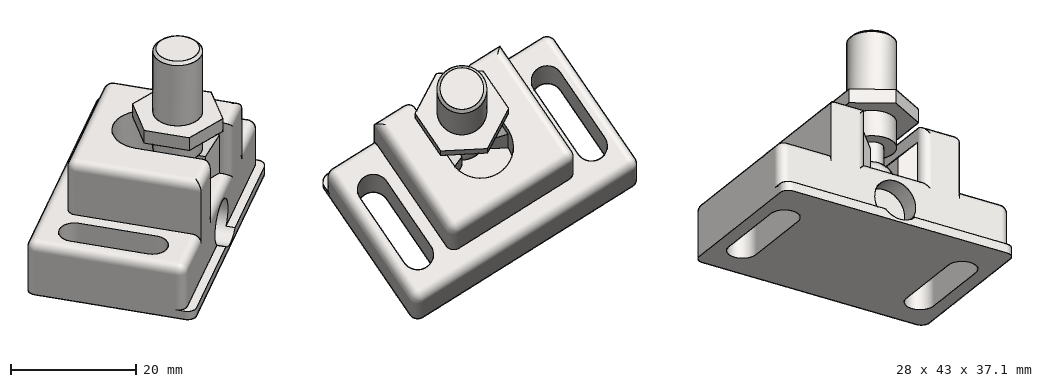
import cadquery as cq
import math

base_length = 26.5
base_width = 43.0
base_height = 9.98
block_start = 4.0
block_width = 24.0
housing_height = 20.0
edge_radius = 1.5
lip_reach = 1.5
lip_height = 1.65
housing_length = base_length + lip_reach

mount_slot_start = 4.2
mount_slot_length = 18.0
mount_slot_width = 5.07
mount_slot_offset = 16.6

stud_x = 19.2
stud_top = 37.1
shaft_radius = 4.0
shaft_chamfer = 0.5
shaft_bottom = housing_height - 2.35
neck_radius = 1.95
ball_radius = 3.83
ball_z = 10.7
collar_bottom = 22.25
collar_height = 2.5
collar_across_flats = 13.0

keyway_radius = 5.25
keyway_center_x = 13.75
jaw_half_length = stud_x - keyway_center_x
jaw_half_gap = 2.55
jaw_drop = 2.5
jaw_top = housing_height - jaw_drop
jaw_depth = keyway_radius - jaw_half_gap
jaw_taper = jaw_depth * math.tan(math.radians(30))

groove_half_width = 2.7
bore_radius = groove_half_width * math.sqrt(2)
bore_z = lip_height + groove_half_width
bore_start = stud_x + ball_radius


def box(x_start, x_end, width, z_start, z_end):
    """Box centred on Y = 0."""
    return (
        cq.Workplane("XY")
        .box(x_end - x_start, width, z_end - z_start, centered=(False, True, False))
        .translate((x_start, 0, z_start))
    )


def make_base():
    """Rounded base with the lip along its bottom +X edge."""
    base = box(0, base_length, base_width, 0, base_height)
    base = base.edges("|Z").fillet(edge_radius).faces(">Z").edges().fillet(edge_radius)
    lip = box(0, housing_length, base_width, 0, lip_height).edges("|Z").fillet(edge_radius)
    return base.union(lip)


def make_block():
    """Raised block, reaching down into the base and square at its +X corners."""
    block = box(block_start, base_length, block_width, 0, housing_height)
    return block.edges("|Z and <X").fillet(edge_radius).faces(">Z").edges().fillet(edge_radius)


def make_mounting_slots():
    center_x = mount_slot_start + mount_slot_length / 2
    return (
        cq.Workplane("XY")
        .pushPoints([(center_x, side * mount_slot_offset) for side in (-1, 1)])
        .slot2D(mount_slot_length, mount_slot_width)
        .extrude(base_height)
    )


def make_keyway():
    """Round-ended cut through the block, opening in its +X face with a rounded mouth."""
    mouth_start = base_length - edge_radius
    mouth_half_width = keyway_radius + edge_radius
    corner_offset = edge_radius * math.sqrt(0.5)
    arc_x = mouth_start + corner_offset
    arc_y = mouth_half_width - corner_offset
    return (
        cq.Workplane("XY")
        .moveTo(keyway_center_x, -keyway_radius)
        .lineTo(mouth_start, -keyway_radius)
        .threePointArc((arc_x, -arc_y), (base_length, -mouth_half_width))
        .lineTo(base_length, mouth_half_width)
        .threePointArc((arc_x, arc_y), (mouth_start, keyway_radius))
        .lineTo(keyway_center_x, keyway_radius)
        .threePointArc((keyway_center_x - keyway_radius, 0), (keyway_center_x, -keyway_radius))
        .close()
        .extrude(housing_height)
    )


def make_jaw():
    """Jaw on the +Y keyway wall: tapered in plan, its top falling inward at 45 degrees."""
    inner_half_length = jaw_half_length - jaw_taper
    plan = (
        cq.Workplane("XY", origin=(stud_x, 0, base_height))
        .polyline([
            (-jaw_half_length, keyway_radius),
            (-inner_half_length, jaw_half_gap),
            (inner_half_length, jaw_half_gap),
            (jaw_half_length, keyway_radius),
        ])
        .close()
        .extrude(jaw_top - base_height)
    )
    profile = (
        cq.Workplane("YZ", origin=(stud_x - jaw_half_length, 0, 0))
        .polyline([
            (jaw_half_gap, base_height),
            (keyway_radius, base_height),
            (keyway_radius, jaw_top),
            (jaw_half_gap, jaw_top - jaw_depth),
        ])
        .close()
        .extrude(2 * jaw_half_length)
    )
    return plan.intersect(profile)


def make_front_bore():
    return (
        cq.Workplane("YZ", origin=(bore_start, 0, bore_z))
        .circle(bore_radius)
        .extrude(housing_length - bore_start)
    )


def make_ball():
    return cq.Workplane("XY", origin=(stud_x, 0, ball_z)).sphere(ball_radius)


def make_housing():
    jaw = make_jaw()
    shell = make_base().union(make_block().cut(make_keyway())).cut(make_mounting_slots())
    shell = shell.union(jaw).union(jaw.mirror("XZ"))
    return shell.cut(make_ball()).cut(make_front_bore())


def make_stud():
    """Shaft with a hexagonal collar, a thin neck and a ball end."""
    shaft = (
        cq.Workplane("XY", origin=(stud_x, 0, shaft_bottom))
        .circle(shaft_radius)
        .extrude(stud_top - shaft_bottom)
        .faces(">Z")
        .chamfer(shaft_chamfer)
    )
    collar = (
        cq.Workplane("XY", origin=(stud_x, 0, collar_bottom))
        .transformed(rotate=(0, 0, 30))
        .polygon(6, collar_across_flats, circumscribed=True)
        .extrude(collar_height)
    )
    neck = (
        cq.Workplane("XY", origin=(stud_x, 0, ball_z))
        .circle(neck_radius)
        .extrude(shaft_bottom - ball_z)
    )
    return shaft.union(collar).union(neck).union(make_ball())


housing = make_housing()
stud = make_stud()

result = cq.Compound.makeCompound([housing.val(), stud.val()])